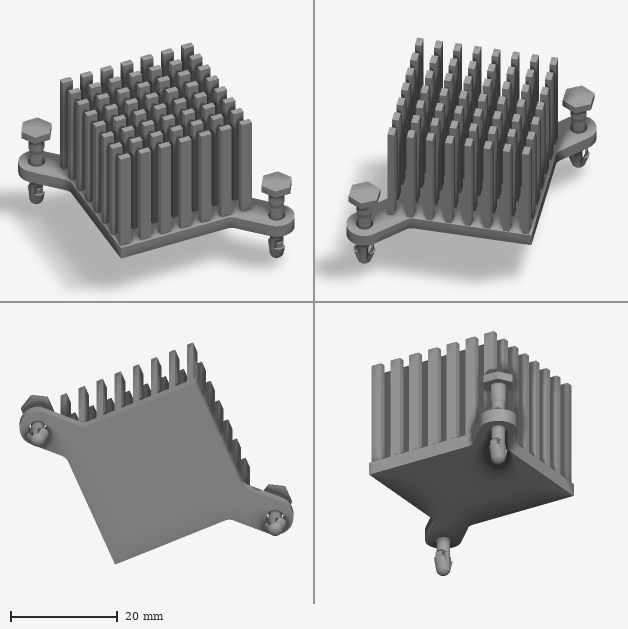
import cadquery as cq
import math

plate_length_x = 28.15
plate_length_y = 27.5
plate_thickness = 2.5
plate_center_x = -0.25
plate_center_y = 0.0

fin_columns = 8
fin_rows = 7
fin_size_x = 1.25
fin_size_y = 2.1
fin_height = 20.5
fin_pitch_x = 3.68
fin_pitch_y = 4.17

mount_offset = 16.95
mounts = [(-mount_offset, -mount_offset), (mount_offset, mount_offset)]
ear_radius = 3.4
ear_corner_radius = 2.0
mount_hole_diameter = 3.2

head_across_flats = 5.4
head_thickness = 1.5
head_bottom_z = 9.0
collar_radius = 1.5
collar_bottom_z = 5.95
shank_radius = 1.28
shank_shoulder_z = 4.95

web_half_width = 0.5
web_top_slope_start_z = -2.35
web_top_slope_end_z = -2.85
tip_top_z = -6.42
tip_bottom_z = -7.25

barb_top_z = -4.05
barb_spread = 0.82
tab_top_z = -2.95
tab_thickness = 0.35
tab_width = 1.25


def make_heat_sink():
    """Plate with two diagonal mounting ears and a grid of rectangular fins."""
    plate_center = (plate_center_x, plate_center_y)
    plate = (
        cq.Workplane("XY")
        .center(*plate_center)
        .rect(plate_length_x, plate_length_y)
        .extrude(plate_thickness)
    )
    ear_span = 2 * mount_offset * math.sqrt(2) + 2 * ear_radius
    ears = cq.Workplane("XY").slot2D(ear_span, 2 * ear_radius, 45).extrude(plate_thickness)
    base = plate.union(ears)

    side_shift = ear_radius * math.sqrt(2)
    left_x = plate_center_x - plate_length_x / 2
    right_x = plate_center_x + plate_length_x / 2
    front_y = plate_center_y - plate_length_y / 2
    back_y = plate_center_y + plate_length_y / 2
    inner_corners = [
        (left_x, left_x + side_shift),
        (front_y + side_shift, front_y),
        (right_x, right_x - side_shift),
        (back_y - side_shift, back_y),
    ]
    for x, y in inner_corners:
        corner = cq.selectors.NearestToPointSelector((x, y, plate_thickness / 2))
        base = base.edges("|Z").edges(corner).fillet(ear_corner_radius)

    fins = (
        cq.Workplane("XY", origin=(*plate_center, plate_thickness))
        .rarray(fin_pitch_x, fin_pitch_y, fin_columns, fin_rows)
        .rect(fin_size_x, fin_size_y)
        .extrude(fin_height)
    )
    holes = cq.Workplane("XY").pushPoints(mounts).circle(mount_hole_diameter / 2).extrude(plate_thickness)
    return base.union(fins).cut(holes)


def make_pin_core():
    """Turned pin with a hexagonal head and two flats that leave a thin web."""
    tip_height = tip_top_z - tip_bottom_z
    dome_radius = (shank_radius**2 + tip_height**2) / (2 * tip_height)
    dome_center_z = tip_bottom_z + dome_radius
    half_angle = math.asin(shank_radius / dome_radius) / 2
    dome_mid = (-dome_radius * math.sin(half_angle), dome_center_z - dome_radius * math.cos(half_angle))
    turned = (
        cq.Workplane("YZ")
        .moveTo(0, tip_bottom_z)
        .threePointArc(dome_mid, (-shank_radius, tip_top_z))
        .lineTo(-shank_radius, shank_shoulder_z)
        .lineTo(-collar_radius, collar_bottom_z)
        .lineTo(-collar_radius, head_bottom_z)
        .lineTo(0, head_bottom_z)
        .close()
        .revolve(360, (0, 0), (0, 1))
    )
    head_across_corners = head_across_flats / math.cos(math.pi / 6)
    head = (
        cq.Workplane("XY", origin=(0, 0, head_bottom_z))
        .polygon(6, head_across_corners)
        .extrude(head_thickness)
        .rotate((0, 0, 0), (0, 0, 1), 90)
    )
    flat_cutter = (
        cq.Workplane("XZ")
        .moveTo(web_half_width, tip_top_z)
        .lineTo(web_half_width, web_top_slope_end_z)
        .lineTo(shank_radius, web_top_slope_start_z)
        .lineTo(shank_radius, tip_top_z)
        .close()
        .extrude(shank_radius, both=True)
    )
    return turned.union(head).cut(flat_cutter).cut(flat_cutter.mirror("YZ"))


def make_barb():
    """Springy barb on the +X side: a leaning round segment with a tab on top."""
    chord_half = math.sqrt(shank_radius**2 - web_half_width**2)

    def segment(workplane, shift):
        inner_x = web_half_width + shift
        return (
            workplane.moveTo(inner_x, -chord_half)
            .threePointArc((shank_radius + shift, 0), (inner_x, chord_half))
            .close()
        )

    bottom = segment(cq.Workplane("XY", origin=(0, 0, tip_top_z)), 0)
    leaf = segment(bottom.workplane(offset=barb_top_z - tip_top_z), barb_spread).loft(ruled=True)
    tab = (
        cq.Workplane("XY", origin=(web_half_width + barb_spread, 0, barb_top_z))
        .rect(tab_thickness, tab_width)
        .extrude(tab_top_z - barb_top_z)
        .translate((tab_thickness / 2, 0, 0))
    )
    return leaf.union(tab)


def make_push_pin(x, y):
    """Push pin with a barb on each side, standing at a mounting hole."""
    barb = make_barb()
    pin = make_pin_core().union(barb).union(barb.mirror("YZ"))
    return pin.translate((x, y, 0))


heat_sink = make_heat_sink()
push_pins = [make_push_pin(x, y) for x, y in mounts]

result = cq.Compound.makeCompound([heat_sink.val(), *[pin.val() for pin in push_pins]])